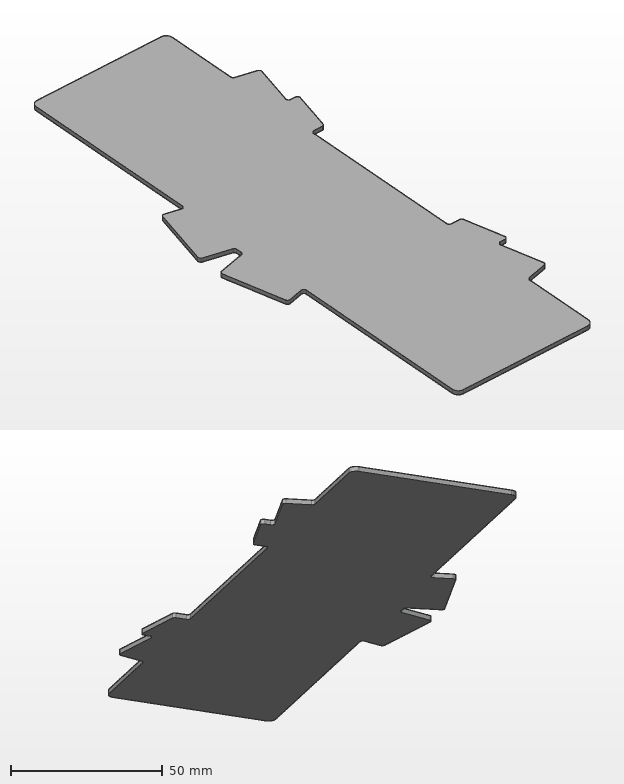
import cadquery as cq
import math

length = 214.7
width = 59.5
thickness = 1.7
corner_radius = 2.5

lean = math.tan(math.radians(14))
tab_radius = 1.0
overlap = 4.3

peak_height = 10.0
outer_peak_x = 72.0
inner_peak_x = 52.8
back_tab_inner_x = 34.5

tip_x = 5.2
tip_depth = 15.2
front_tab_outer_x = 32.0
notch_floor_depth = 2.4

back_y = width / 2
front_y = -width / 2


def back_tab():
    valley_height = peak_height - (outer_peak_x - inner_peak_x) * lean
    inner_height = peak_height - (inner_peak_x - back_tab_inner_x) * lean
    outer_base_x = outer_peak_x + (peak_height + overlap) * lean
    points = [
        (back_tab_inner_x, back_y - overlap),
        (back_tab_inner_x, back_y + inner_height),
        (inner_peak_x, back_y + peak_height),
        (inner_peak_x, back_y + valley_height),
        (outer_peak_x, back_y + peak_height),
        (outer_base_x, back_y - overlap),
    ]
    return cq.Workplane("XY").polyline(points).close().extrude(thickness)


def front_tab():
    outer_depth = tip_depth - (front_tab_outer_x - tip_x) * lean
    outer_base_x = front_tab_outer_x - (outer_depth + overlap) * lean
    notch_half_width = tip_x - (tip_depth - notch_floor_depth) * lean
    points = [
        (0, front_y + overlap),
        (0, front_y - notch_floor_depth),
        (notch_half_width, front_y - notch_floor_depth),
        (tip_x, front_y - tip_depth),
        (front_tab_outer_x, front_y - outer_depth),
        (outer_base_x, front_y + overlap),
    ]
    return cq.Workplane("XY").polyline(points).close().extrude(thickness)


sheet = cq.Workplane("XY").box(length, width, thickness, centered=(True, True, False))
sheet = sheet.edges("|Z").fillet(corner_radius)
for tab in (back_tab(), front_tab()):
    sheet = sheet.union(tab).union(tab.mirror("YZ"))
sheet = sheet.clean()

tab_zone_x = length / 2 - 2 * corner_radius
tab_zone = cq.selectors.BoxSelector(
    (-tab_zone_x, -width, -thickness),
    (tab_zone_x, width, 2 * thickness),
)
result = sheet.edges("|Z").edges(tab_zone).fillet(tab_radius)